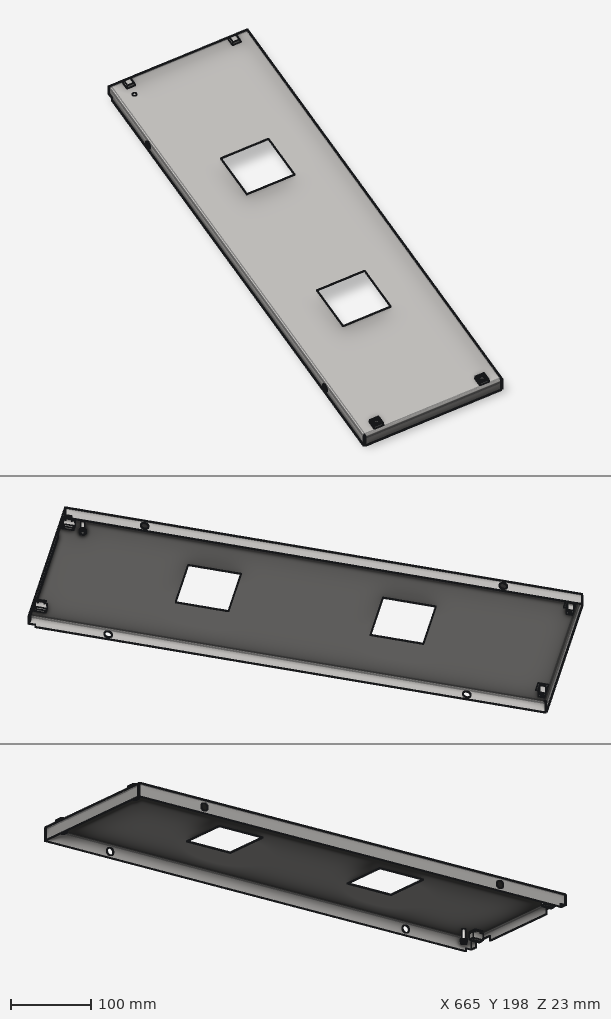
import cadquery as cq

LENGTH = 665.0
WIDTH = 198.0
TOTAL_HEIGHT = 23.0
CAP_HEIGHT = 4.0
LEFT_X = -LENGTH / 2
RIGHT_X = LENGTH / 2
PANEL_HEIGHT = TOTAL_HEIGHT - CAP_HEIGHT
THICKNESS = 1.0
SHEET_BOTTOM = PANEL_HEIGHT - THICKNESS
BEND_RADIUS = 2.5
RIGHT_BEND_RADIUS = 4.0
CORNER_GAP_X = 1.0
CORNER_GAP_Y = 2.5

WINDOW_SIZE = 68.0
WINDOW_SPACING = 250.0

SIDE_HOLE_DIAMETER = 10.0
SIDE_HOLE_SPACING = 460.0
SIDE_HOLE_HEIGHT = 8.5

LEFT_WALL_RAISE = 4.0
LEFT_WALL_CUT_LENGTH = 8.5
NOTCH_WIDTH = 30.0
NOTCH_TOP = 10.5
NOTCH_CENTRE_Y = 74.0

PLUG_Y = 75.0
LEFT_PLUG_INSET = 10.0
RIGHT_PLUG_INSET = 11.0
LEFT_PLUG_X = LEFT_X + LEFT_PLUG_INSET
RIGHT_PLUG_X = RIGHT_X - RIGHT_PLUG_INSET
LEFT_CAP_SIZE = 12.0
LEFT_CAP_DRAFT = 18.0
RIGHT_CAP_SIZE = 13.0
RIGHT_CAP_DRAFT = 8.0
FOOT_LENGTH = 15.0
STEM_WIDTH = 8.0
STEM_BOTTOM = 6.0
FOOT_TOP = PANEL_HEIGHT - BEND_RADIUS
FOOT_CHAMFER = 2.0
FUNNEL_DIAMETER = 6.5
RECESS_SIZE = 9.0
RECESS_DEPTH = 1.0
BORE_DIAMETER = 3.0

STUD_OFFSET_X = 18.0
STUD_OFFSET_Y = -2.0
STUD_X = LEFT_PLUG_X + STUD_OFFSET_X
STUD_Y = -PLUG_Y + STUD_OFFSET_Y
STUD_DIAMETER = 5.0
NUT_DIAMETER = 8.5
NUT_HEIGHT = 2.5
WASHER_DIAMETER = 8.5
WASHER_HEIGHT = 2.0


def box(x_size, y_size, z_low, z_high, x=0.0, y=0.0):
    """Block centred on (x, y) between two heights."""
    height = z_high - z_low
    return cq.Workplane().box(x_size, y_size, height).translate((x, y, (z_low + z_high) / 2))


def rod(diameter, z_low, z_high, x, y):
    """Upright cylinder between two heights."""
    return cq.Workplane().circle(diameter / 2).extrude(z_high - z_low).translate((x, y, z_low))


def tray_block(inset):
    """Block with mitred upper bends, inset from the tray's outside by the given distance."""
    block = box(LENGTH - 2 * inset, WIDTH - 2 * inset, 0, PANEL_HEIGHT - inset)
    end_bends = block.edges(">Z and >X").fillet(RIGHT_BEND_RADIUS - inset)
    end_bends = end_bends.edges(">Z and <X").fillet(BEND_RADIUS - inset)
    side_bends = block.edges(">Z and |X").fillet(BEND_RADIUS - inset)
    return end_bends.intersect(side_bends)


def side_hole(x):
    """Round bar that pierces both long side walls."""
    bar = cq.Workplane("XZ").center(x, SIDE_HOLE_HEIGHT).circle(SIDE_HOLE_DIAMETER / 2)
    return bar.extrude(WIDTH, both=True)


def make_panel():
    panel = tray_block(0).cut(tray_block(THICKNESS))
    panel = panel.cut(box(2 * LEFT_WALL_CUT_LENGTH, WIDTH, 0, LEFT_WALL_RAISE, LEFT_X))
    for side in (-1, 1):
        corner = box(2 * CORNER_GAP_X, 2 * CORNER_GAP_Y, 0, PANEL_HEIGHT, RIGHT_X, side * WIDTH / 2)
        notch = box(2 * BEND_RADIUS, NOTCH_WIDTH, 0, NOTCH_TOP, LEFT_X, side * NOTCH_CENTRE_Y)
        window = box(WINDOW_SIZE, WINDOW_SIZE, 0, PANEL_HEIGHT, side * WINDOW_SPACING / 2)
        panel = panel.cut(corner).cut(notch).cut(window)
        panel = panel.cut(side_hole(side * SIDE_HOLE_SPACING / 2))
        for plug_x in (LEFT_PLUG_X, RIGHT_PLUG_X):
            panel = panel.cut(
                box(STEM_WIDTH, STEM_WIDTH, SHEET_BOTTOM, PANEL_HEIGHT, plug_x, side * PLUG_Y)
            )
    return panel


def cap(size, draft, x, y):
    """Tapered square cap standing on the sheet."""
    sketch = cq.Workplane().rect(size, size)
    return sketch.extrude(CAP_HEIGHT, taper=draft).translate((x, y, PANEL_HEIGHT))


def make_left_plug(y):
    """Square plug whose foot, under the sheet, is longer than it is wide."""
    foot = box(FOOT_LENGTH, STEM_WIDTH, STEM_BOTTOM, FOOT_TOP, LEFT_PLUG_X, y)
    foot = foot.faces("<Z").chamfer(FOOT_CHAMFER)
    neck = box(STEM_WIDTH, STEM_WIDTH, FOOT_TOP, PANEL_HEIGHT, LEFT_PLUG_X, y)
    return cap(LEFT_CAP_SIZE, LEFT_CAP_DRAFT, LEFT_PLUG_X, y).union(neck).union(foot)


def make_right_plug(y):
    """Square plug with a square recess that narrows through a cone to a round bore."""
    stem = box(STEM_WIDTH, STEM_WIDTH, STEM_BOTTOM, PANEL_HEIGHT, RIGHT_PLUG_X, y)
    plug = cap(RIGHT_CAP_SIZE, RIGHT_CAP_DRAFT, RIGHT_PLUG_X, y).union(stem)
    recess_floor = TOTAL_HEIGHT - RECESS_DEPTH
    recess = box(RECESS_SIZE, RECESS_SIZE, recess_floor, TOTAL_HEIGHT, RIGHT_PLUG_X, y)
    bore = rod(BORE_DIAMETER, 0, TOTAL_HEIGHT, RIGHT_PLUG_X, y)
    funnel = cq.Solid.makeCone(
        BORE_DIAMETER / 2,
        FUNNEL_DIAMETER / 2,
        recess_floor - PANEL_HEIGHT,
        cq.Vector(RIGHT_PLUG_X, y, PANEL_HEIGHT),
    )
    return plug.cut(recess).cut(bore).cut(funnel)


def make_stud():
    return rod(STUD_DIAMETER, 0, SHEET_BOTTOM, STUD_X, STUD_Y)


def make_washer():
    washer = rod(WASHER_DIAMETER, NUT_HEIGHT, NUT_HEIGHT + WASHER_HEIGHT, STUD_X, STUD_Y)
    return washer.cut(make_stud())


def make_nut():
    nut = cq.Workplane().polygon(6, NUT_DIAMETER).extrude(NUT_HEIGHT)
    return nut.translate((STUD_X, STUD_Y, 0)).cut(make_stud())


bodies = [make_panel(), make_stud(), make_nut(), make_washer()]
for row_y in (-PLUG_Y, PLUG_Y):
    bodies.append(make_left_plug(row_y))
    bodies.append(make_right_plug(row_y))

result = cq.Compound.makeCompound([body.val() for body in bodies])